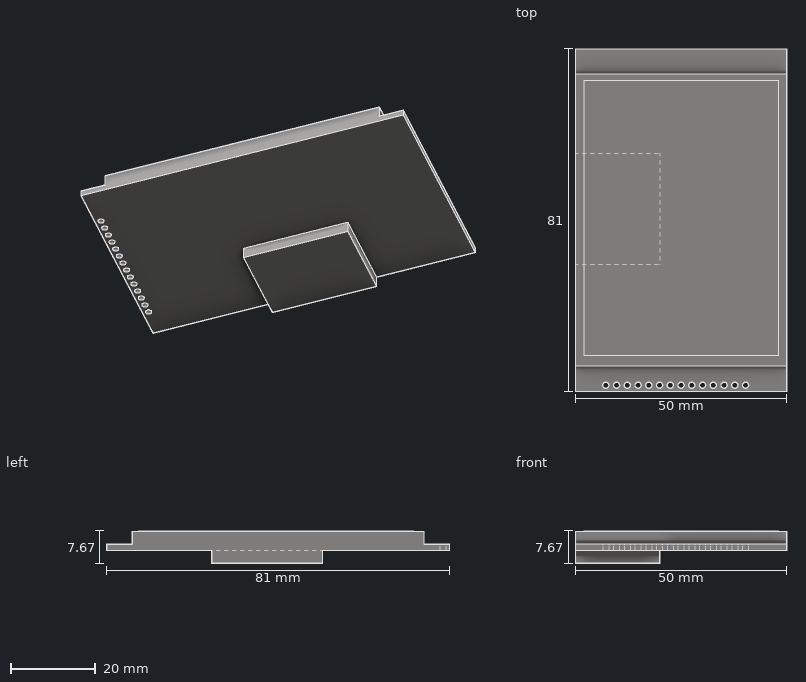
import cadquery as cq

BOARD_WIDTH = 50.0
BOARD_LENGTH = 81.0
BOARD_THICKNESS = 1.57

PANEL_END_MARGIN = 6.0
PANEL_LENGTH = BOARD_LENGTH - 2 * PANEL_END_MARGIN
PANEL_THICKNESS = 3.0

SCREEN_SIDE_MARGIN = 2.0
SCREEN_WIDTH = BOARD_WIDTH - 2 * SCREEN_SIDE_MARGIN
SCREEN_START = 8.5
SCREEN_LENGTH = 65.0
SCREEN_THICKNESS = 0.1

SOCKET_WIDTH = 20.0
SOCKET_START = 30.0
SOCKET_LENGTH = 26.2
SOCKET_HEIGHT = 3.0

PIN_COUNT = 14
PIN_PITCH = 2.54
PIN_DIAMETER = 1.4
FIRST_PIN_X = 7.2
PIN_ROW_Y = 1.5


def block(width, length, height, x, y, z):
    """Box with its lowest corner at (x, y, z)."""
    return cq.Workplane("XY").box(width, length, height, centered=False).translate((x, y, z))


def make_board():
    """Plain board with the row of pin holes drilled through it."""
    pin_centres = [(FIRST_PIN_X + i * PIN_PITCH, PIN_ROW_Y) for i in range(PIN_COUNT)]
    pin_holes = (
        cq.Workplane("XY")
        .pushPoints(pin_centres)
        .circle(PIN_DIAMETER / 2)
        .extrude(BOARD_THICKNESS)
    )
    return block(BOARD_WIDTH, BOARD_LENGTH, BOARD_THICKNESS, 0, 0, 0).cut(pin_holes)


def make_display():
    """Display panel on the board, topped by the slightly raised viewing area."""
    panel_top = BOARD_THICKNESS + PANEL_THICKNESS
    panel = block(BOARD_WIDTH, PANEL_LENGTH, PANEL_THICKNESS, 0, PANEL_END_MARGIN, BOARD_THICKNESS)
    screen = block(
        SCREEN_WIDTH, SCREEN_LENGTH, SCREEN_THICKNESS, SCREEN_SIDE_MARGIN, SCREEN_START, panel_top
    )
    return panel.union(screen)


def make_socket():
    """Card socket hanging from the underside of the board."""
    return block(SOCKET_WIDTH, SOCKET_LENGTH, SOCKET_HEIGHT, 0, SOCKET_START, -SOCKET_HEIGHT)


result = make_board().union(make_display(), clean=False).union(make_socket(), clean=False)